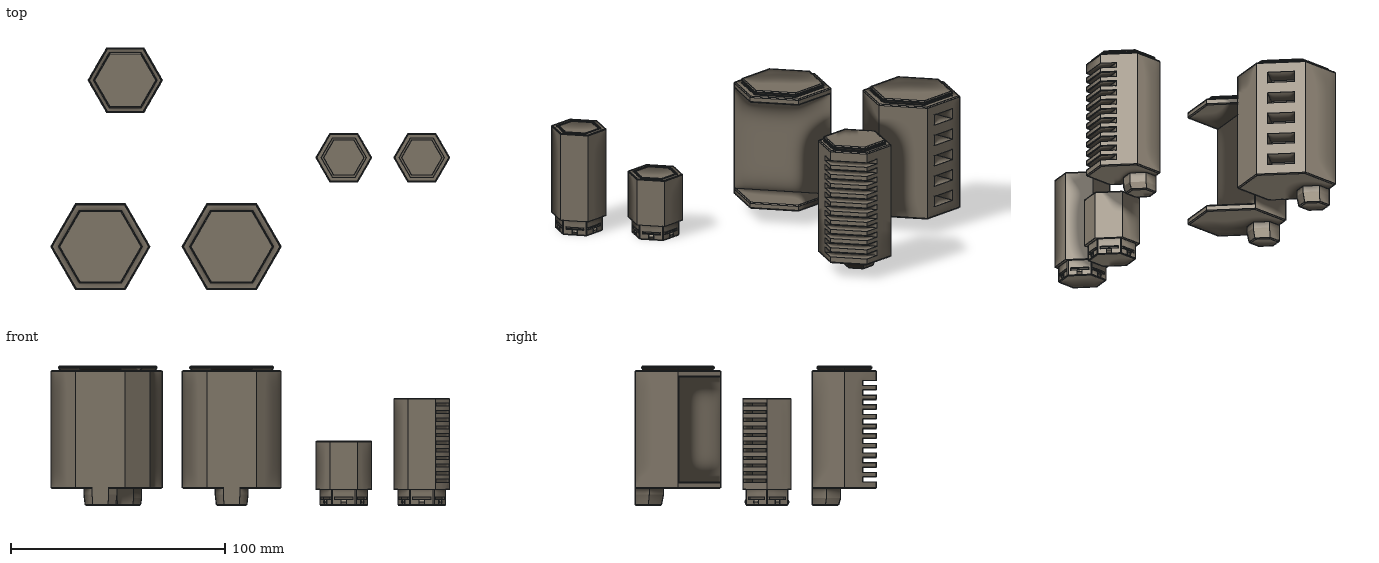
import cadquery as cq
import math

FOOT_HEIGHT = 8.0
PLUG_HEIGHT = 7.5
LID_HEIGHT = 2.0
LARGE_BODY_HEIGHT = 55.0
TALL_SMALL_HEIGHT = 50.0
SHORT_SMALL_HEIGHT = 30.0
EDGE_CHAMFER = 0.5
SMALL_EDGE_CHAMFER = 0.35

LARGE_FLATS = 40.0
MEDIUM_FLATS = 30.0
SMALL_FLATS = 22.5

WINDOW_CENTRE = (0, 0)
NICHE_CENTRE = (61.2, 0)
COMB_CENTRE = (11.6, 77.59)
SMALL_ROW_Y = 41.5
SHORT_CENTRE = (113.5, SMALL_ROW_Y)
TALL_CENTRE = (149.866, SMALL_ROW_Y)

FOOT_FLATS = 13.3
FOOT_TAPER = 0.5
LARGE_FOOT_TAPER_HEIGHT = 5.0
MEDIUM_FOOT_TAPER_HEIGHT = 3.4

LARGE_BEAD_FLATS = 33.9
MEDIUM_BEAD_FLATS = 25.7
NECK_HEIGHT = 1.0

WINDOW_COUNT = 5
WINDOW_PITCH = 10.0
WINDOW_WIDTH = 12.7
WINDOW_HEIGHT = 5.0
WINDOW_DEPTH = 13.6
WINDOW_FACE_ANGLE = 150

NICHE_FLOOR = 3.0
NICHE_ROOF = 3.0
NICHE_BACK_Y = 0.5

COMB_COUNT = 11
COMB_PITCH = 4.5
COMB_HEIGHT = 2.25
COMB_DEPTH = 6.4
COMB_FLOOR = 3.0
FIN_ROOT = 1.0
FIN_CHAMFER = 0.3

SLIT_COUNT = 11
SLIT_PITCH = 3.56
SLIT_HEIGHT = 1.5
SLIT_WIDTH = 12.0
SLIT_DEPTH = 8.0
SLIT_FLOOR = 3.25
SLIT_FACE_ANGLE = -30

SMALL_GROOVE_FLATS = 18.3
GROOVE_WIDTH = 1.0
GROOVE_DEPTH = 0.5

PLUG_FLATS = 19.6
FLEX_SLOT_WIDTH = 8.5
FLEX_SLOT_HEIGHT = 1.1
FLEX_SLOT_Z = 2.75
FLEX_SLOT_DEPTH = 1.3
BUMP_WIDTH = 2.4
BUMP_BOTTOM = 0.4
BUMP_PEAK = 1.7
BUMP_TOP = 2.7
BUMP_REACH = 0.5


def hexagon(flats, z, y=0):
    """Hexagon wire with corners on the X axis."""
    return cq.Workplane("XY", origin=(0, y, z)).polygon(6, flats / math.cos(math.pi / 6))


def hex_prism(flats, z, height):
    return hexagon(flats, z).extrude(height)


def hex_taper(bottom_flats, bottom_z, top_flats, top_z):
    """Tapered hexagon between two heights."""
    wires = [hexagon(bottom_flats, bottom_z).wires().val(), hexagon(top_flats, top_z).wires().val()]
    return cq.Workplane(cq.Solid.makeLoft(wires, True))


def ring_groove(outer_flats, top_z):
    """Hexagonal ring to cut down from a housing top."""
    floor_z = top_z - GROOVE_DEPTH
    island = hex_prism(outer_flats - 2 * GROOVE_WIDTH, floor_z, GROOVE_DEPTH)
    return hex_prism(outer_flats, floor_z, GROOVE_DEPTH).cut(island)


def face_box(flats, angle, width, z, height, depth):
    """Box cut radially into the hexagon face whose normal points at the angle."""
    box = cq.Workplane("XY").box(depth, width, height, centered=(False, True, False))
    return box.translate((flats / 2 - depth, 0, z)).rotate((0, 0, 0), (0, 0, 1), angle)


def foot(housing_flats, taper_height):
    """Hexagonal foot flush with the -Y face, tapering on its other sides."""
    front = -housing_flats / 2
    top_y = front + FOOT_FLATS / 2
    small_flats = FOOT_FLATS - 2 * FOOT_TAPER
    small_y = front + small_flats / 2
    sink = 2 * EDGE_CHAMFER
    upper = hexagon(FOOT_FLATS, taper_height, top_y).extrude(FOOT_HEIGHT + sink - taper_height)
    wires = [hexagon(FOOT_FLATS, taper_height, top_y).wires().val(),
             hexagon(small_flats, 0, small_y).wires().val()]
    lower = cq.Workplane(cq.Solid.makeLoft(wires, True)).faces("<Z").chamfer(EDGE_CHAMFER)
    return upper.union(lower)


def large_housing(flats, taper_height, bead_flats):
    body = hex_prism(flats, FOOT_HEIGHT, LARGE_BODY_HEIGHT)
    body = body.faces("<Z or >Z").chamfer(EDGE_CHAMFER)
    body = body.cut(ring_groove(bead_flats, FOOT_HEIGHT + LARGE_BODY_HEIGHT))
    return body.union(foot(flats, taper_height))


def lid(bead_flats):
    base = FOOT_HEIGHT + LARGE_BODY_HEIGHT
    neck = hex_taper(bead_flats - 2 * GROOVE_WIDTH, base, bead_flats, base + NECK_HEIGHT)
    bead = hex_prism(bead_flats, base + NECK_HEIGHT, LID_HEIGHT - NECK_HEIGHT)
    return neck.union(bead.faces(">Z").chamfer(EDGE_CHAMFER))


def window_housing():
    body = large_housing(LARGE_FLATS, LARGE_FOOT_TAPER_HEIGHT, LARGE_BEAD_FLATS)
    middle = FOOT_HEIGHT + LARGE_BODY_HEIGHT / 2
    lowest = middle - (WINDOW_COUNT - 1) / 2 * WINDOW_PITCH - WINDOW_HEIGHT / 2
    for i in range(WINDOW_COUNT):
        z = lowest + i * WINDOW_PITCH
        window = face_box(LARGE_FLATS, WINDOW_FACE_ANGLE, WINDOW_WIDTH, z, WINDOW_HEIGHT, WINDOW_DEPTH)
        body = body.cut(window)
    return body


def niche_housing():
    body = large_housing(LARGE_FLATS, LARGE_FOOT_TAPER_HEIGHT, LARGE_BEAD_FLATS)
    height = LARGE_BODY_HEIGHT - NICHE_FLOOR - NICHE_ROOF
    niche = cq.Workplane("XY").box(2 * LARGE_FLATS, LARGE_FLATS, height, centered=(True, False, False))
    floor_z = FOOT_HEIGHT + NICHE_FLOOR
    body = body.cut(niche.translate((0, NICHE_BACK_Y, floor_z)))
    for z in (floor_z, floor_z + height):
        ledge = body.faces(cq.NearestToPointSelector((0, LARGE_FLATS / 4, z)))
        body = ledge.edges("not(<Y)").chamfer(EDGE_CHAMFER)
    return body


def comb_fin(z):
    """Fin with chamfered lower edges, rooted inside the back wall of the slots."""
    root_y = MEDIUM_FLATS / 2 - COMB_DEPTH - FIN_ROOT
    side = cq.Workplane("XY").box(2 * MEDIUM_FLATS, MEDIUM_FLATS, COMB_PITCH, centered=(True, False, False))
    fin = hex_prism(MEDIUM_FLATS, z, COMB_PITCH - COMB_HEIGHT).intersect(side.translate((0, root_y, z)))
    return fin.faces("<Z").chamfer(FIN_CHAMFER)


def comb_housing():
    body = large_housing(MEDIUM_FLATS, MEDIUM_FOOT_TAPER_HEIGHT, MEDIUM_BEAD_FLATS)
    lowest = FOOT_HEIGHT + COMB_FLOOR
    height = (COMB_COUNT - 1) * COMB_PITCH + COMB_HEIGHT
    opening = cq.Workplane("XY").box(2 * MEDIUM_FLATS, COMB_DEPTH, height, centered=(True, False, False))
    body = body.cut(opening.translate((0, MEDIUM_FLATS / 2 - COMB_DEPTH, lowest)))
    for i in range(COMB_COUNT - 1):
        body = body.union(comb_fin(lowest + COMB_HEIGHT + i * COMB_PITCH))
    return body


def snap_plug():
    """Hexagonal plug with a flex slot and a snap bump on each face."""
    plug = hex_prism(PLUG_FLATS, 0, PLUG_HEIGHT)
    plug = plug.edges("|Z").chamfer(SMALL_EDGE_CHAMFER).faces("<Z").chamfer(SMALL_EDGE_CHAMFER)
    face = PLUG_FLATS / 2
    root = face - BUMP_REACH
    bump = (
        cq.Workplane("XZ", origin=(0, BUMP_WIDTH / 2, 0))
        .polyline([(root, BUMP_BOTTOM), (face, BUMP_BOTTOM), (face + BUMP_REACH, BUMP_PEAK),
                   (face, BUMP_TOP), (root, BUMP_TOP)])
        .close()
        .extrude(BUMP_WIDTH)
    )
    for i in range(6):
        angle = 30 + 60 * i
        slot = face_box(PLUG_FLATS, angle, FLEX_SLOT_WIDTH, FLEX_SLOT_Z, FLEX_SLOT_HEIGHT, FLEX_SLOT_DEPTH)
        plug = plug.cut(slot).union(bump.rotate((0, 0, 0), (0, 0, 1), angle))
    return plug


def small_housing(total_height):
    """Small housing with a ring groove in its top and a snap plug below."""
    body = hex_prism(SMALL_FLATS, PLUG_HEIGHT, total_height - PLUG_HEIGHT)
    body = body.faces(">Z").chamfer(SMALL_EDGE_CHAMFER)
    return body.cut(ring_groove(SMALL_GROOVE_FLATS, total_height)).union(snap_plug())


def tall_housing():
    body = small_housing(TALL_SMALL_HEIGHT)
    for i in range(SLIT_COUNT):
        z = PLUG_HEIGHT + SLIT_FLOOR + i * SLIT_PITCH
        body = body.cut(face_box(SMALL_FLATS, SLIT_FACE_ANGLE, SLIT_WIDTH, z, SLIT_HEIGHT, SLIT_DEPTH))
    return body


def place(body, centre):
    return body.translate((*centre, 0))


bodies = [
    place(window_housing(), WINDOW_CENTRE),
    place(lid(LARGE_BEAD_FLATS), WINDOW_CENTRE),
    place(niche_housing(), NICHE_CENTRE),
    place(lid(LARGE_BEAD_FLATS), NICHE_CENTRE),
    place(comb_housing(), COMB_CENTRE),
    place(lid(MEDIUM_BEAD_FLATS), COMB_CENTRE),
    place(small_housing(SHORT_SMALL_HEIGHT), SHORT_CENTRE),
    place(tall_housing(), TALL_CENTRE),
]

result = cq.Compound.makeCompound([body.val() for body in bodies])